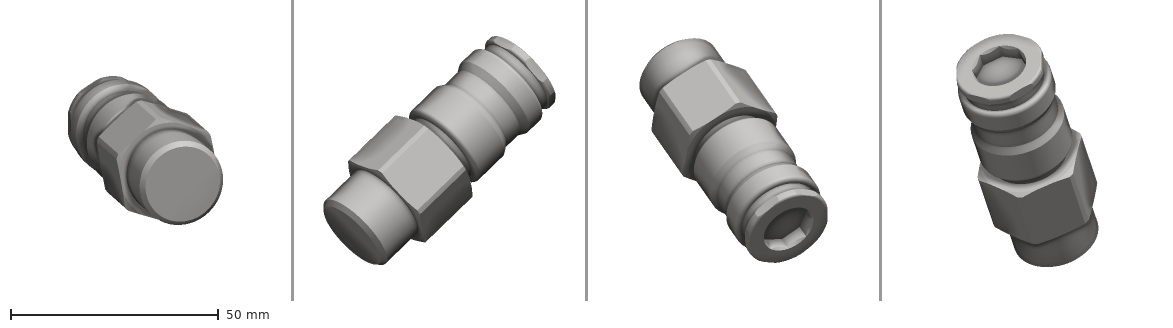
import cadquery as cq
import math

LENGTH = 60.5

HEXAGON_SIDES = 6
CORNER_UP = 90.0

FLANGE_DIA = 22.0
FLANGE_WIDTH = 2.5
FLANGE_FILLET = 0.7
FLANGE_FLATS = 21.0

SOCKET_DIA = 13.45
SOCKET_SIDES = 8
SOCKET_DEPTH = 3.6
SOCKET_LEAD_ANGLE = 35.0

FRONT_NECK_DIA = 20.0
REAR_NECK_DIA = 18.95

SLEEVE_START = 5.2
SLEEVE_END = 28.7
SLEEVE_DIA = 23.2
SLEEVE_FILLET = 1.0
GROOVE_DIA = 21.0
GROOVE_FRONT_EDGE = 10.4
GROOVE_FLOOR_START = 12.4
GROOVE_FLOOR_END = 17.35
GROOVE_REAR_EDGE = 19.2

HEX_START = 31.4
HEX_END = 48.5
HEX_FLATS = 24.0
HEX_CORNER_DIA = 27.0
HEX_FACE_DIA = 24.3
HEX_CHAMFER_LENGTH = 0.4
HEX_TURN = 10.0

SPIGOT_DIA = 21.0
SPIGOT_CHAMFER = 1.15


def cylinder(start, end, diameter):
    return cq.Workplane("YZ", origin=(start, 0, 0)).circle(diameter / 2).extrude(end - start)


def prism(start, end, sides, corner_dia, turn):
    """Regular prism along X; with turn = 0 a corner points along +Y."""
    outline = cq.Workplane("YZ", origin=(start, 0, 0)).polygon(sides, corner_dia)
    return outline.extrude(end - start).rotate((0, 0, 0), (1, 0, 0), turn)


def hexagon_corner_dia(flats):
    return flats / math.cos(math.pi / HEXAGON_SIDES)


def revolve_about_x(profile):
    return profile.close().revolve(360, (0, 0, 0), (1, 0, 0))


def fillet_outer_edge(ring, end_face, radius):
    largest_circle = cq.selectors.RadiusNthSelector(-1)
    return ring.faces(end_face).edges(largest_circle).fillet(radius)


def make_flange():
    disc = cylinder(0, FLANGE_WIDTH, FLANGE_DIA).edges().fillet(FLANGE_FILLET)
    flats = prism(0, FLANGE_WIDTH, HEXAGON_SIDES, hexagon_corner_dia(FLANGE_FLATS), CORNER_UP)
    return disc.intersect(flats)


def make_hex():
    blank = revolve_about_x(
        cq.Workplane("XY")
        .moveTo(HEX_START, 0)
        .lineTo(HEX_START, HEX_FACE_DIA / 2)
        .lineTo(HEX_START + HEX_CHAMFER_LENGTH, HEX_CORNER_DIA / 2)
        .lineTo(HEX_END - HEX_CHAMFER_LENGTH, HEX_CORNER_DIA / 2)
        .lineTo(HEX_END, HEX_FACE_DIA / 2)
        .lineTo(HEX_END, 0)
    )
    flats = prism(HEX_START, HEX_END, HEXAGON_SIDES, hexagon_corner_dia(HEX_FLATS), CORNER_UP + HEX_TURN)
    return blank.intersect(flats)


def make_spigot():
    return revolve_about_x(
        cq.Workplane("XY")
        .moveTo(HEX_END, 0)
        .lineTo(HEX_END, SPIGOT_DIA / 2)
        .lineTo(LENGTH - SPIGOT_CHAMFER, SPIGOT_DIA / 2)
        .lineTo(LENGTH, SPIGOT_DIA / 2 - SPIGOT_CHAMFER)
        .lineTo(LENGTH, 0)
    )


def make_socket():
    """Octagonal recess whose corners end on the rim of a conical mouth."""
    mouth_radius = SOCKET_DIA / 2
    cone_depth = mouth_radius / math.tan(math.radians(SOCKET_LEAD_ANGLE))
    cone = revolve_about_x(
        cq.Workplane("XY").moveTo(0, 0).lineTo(0, mouth_radius).lineTo(cone_depth, 0)
    )
    mouth = cone.intersect(cylinder(0, SOCKET_DEPTH, SOCKET_DIA))
    return mouth.union(prism(0, SOCKET_DEPTH, SOCKET_SIDES, SOCKET_DIA, 0))


def make_body():
    front_neck = cylinder(FLANGE_WIDTH, SLEEVE_START, FRONT_NECK_DIA)
    core = cylinder(SLEEVE_START, HEX_START, REAR_NECK_DIA)
    body = make_flange().union(front_neck).union(core).union(make_hex()).union(make_spigot())
    return body.cut(make_socket())


def make_sleeve():
    """Grooved ring that fits on the core between the two necks."""
    outer = SLEEVE_DIA / 2
    groove = GROOVE_DIA / 2
    bore = REAR_NECK_DIA / 2
    ring = revolve_about_x(
        cq.Workplane("XY")
        .moveTo(SLEEVE_START, bore)
        .lineTo(SLEEVE_START, outer)
        .lineTo(GROOVE_FRONT_EDGE, outer)
        .lineTo(GROOVE_FLOOR_START, groove)
        .lineTo(GROOVE_FLOOR_END, groove)
        .lineTo(GROOVE_REAR_EDGE, outer)
        .lineTo(SLEEVE_END, outer)
        .lineTo(SLEEVE_END, bore)
    )
    ring = fillet_outer_edge(ring, "<X", SLEEVE_FILLET)
    return fillet_outer_edge(ring, ">X", SLEEVE_FILLET)


body = make_body()
sleeve = make_sleeve()

result = cq.Compound.makeCompound([body.val(), sleeve.val()])